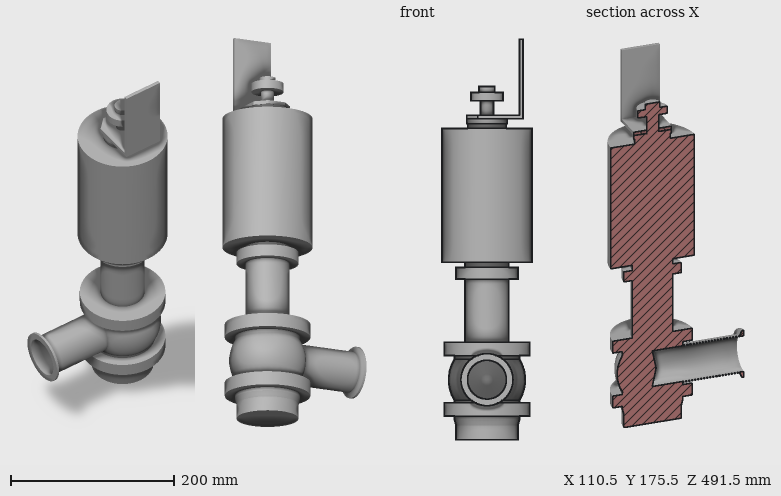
import cadquery as cq

port_diameter = 76.0
port_top = 17.5
shoulder_diameter = 80.0
taper_top = 25.0
flange_diameter = 105.0
lower_flange_bottom = 29.0
lower_flange_top = 45.5
upper_flange_bottom = 103.5
upper_flange_top = 120.0
tube_diameter = 54.0
collar_diameter = 76.0
collar_bottom = 197.0
collar_top = 211.5
actuator_diameter = 110.5
actuator_bottom = 218.0
actuator_top = 382.0
boss_diameter = 50.0
boss_neck_diameter = 47.5
boss_step = 388.0

chamber_diameter = 94.5
chamber_center = 74.0

pipe_diameter = 50.5
pipe_bore = 47.5
rim_diameter = 64.0
rim_thickness = 3.0
rim_taper = 3.0
overall_depth = 175.5
mouth_y = actuator_diameter / 2 - overall_depth
floor_cone_height = 5.0

sheet = 4.5
bracket_width = 50.0
bracket_left = -bracket_width / 2
bracket_right = 44.3
bracket_bottom = 394.0
bracket_top = 491.5
corner_chamfer = 14.0

stem_diameter = 16.0
stem_collar_diameter = 40.0
stem_collar_bottom = 416.0
stem_collar_top = 426.5
stem_head_diameter = 19.5
stem_top = 433.5


def disc(diameter, bottom, top):
    """Upright cylinder on the Z axis between two levels."""
    return cq.Workplane("XY").workplane(offset=bottom).circle(diameter / 2).extrude(top - bottom)


def make_stack():
    """Every cylinder of the valve along Z, joined to the port taper."""
    sections = [
        (port_diameter, 0, port_top),
        (shoulder_diameter, taper_top, lower_flange_bottom),
        (flange_diameter, lower_flange_bottom, lower_flange_top),
        (shoulder_diameter, lower_flange_top, upper_flange_bottom),
        (flange_diameter, upper_flange_bottom, upper_flange_top),
        (tube_diameter, upper_flange_top, actuator_bottom),
        (collar_diameter, collar_bottom, collar_top),
        (actuator_diameter, actuator_bottom, actuator_top),
        (boss_neck_diameter, actuator_top, boss_step),
        (boss_diameter, boss_step, bracket_bottom),
        (stem_diameter, bracket_bottom, stem_collar_bottom),
        (stem_collar_diameter, stem_collar_bottom, stem_collar_top),
        (stem_head_diameter, stem_collar_top, stem_top),
    ]
    stack = make_port_taper()
    for diameter, bottom, top in sections:
        stack = stack.union(disc(diameter, bottom, top))
    return stack


def make_port_taper():
    """Cone that widens from the bottom port to the shoulder."""
    return (
        cq.Workplane("XY").workplane(offset=port_top).circle(port_diameter / 2)
        .workplane(offset=taper_top - port_top).circle(shoulder_diameter / 2).loft()
    )


def make_chamber():
    """Ball cut flat at the two flanges."""
    ball = cq.Workplane("XY").sphere(chamber_diameter / 2).translate((0, 0, chamber_center))
    return ball.intersect(disc(chamber_diameter, lower_flange_top, upper_flange_bottom))


def turned_about_pipe_axis(outline):
    """Revolve a (radius, y) outline about the axis of the side pipe."""
    profile = cq.Workplane("XY").polyline(outline).close()
    return profile.revolve(360, (0, 0, 0), (0, 1, 0)).translate((0, 0, chamber_center))


def make_pipe():
    rim_back = mouth_y + rim_thickness
    return turned_about_pipe_axis([
        (0, mouth_y),
        (rim_diameter / 2, mouth_y),
        (rim_diameter / 2, rim_back),
        (pipe_diameter / 2, rim_back + rim_taper),
        (pipe_diameter / 2, 0),
        (0, 0),
    ])


def make_bore():
    """Blind bore of the side pipe, with a shallow cone standing on its floor at the valve axis."""
    return turned_about_pipe_axis([
        (0, mouth_y),
        (pipe_bore / 2, mouth_y),
        (pipe_bore / 2, 0),
        (0, -floor_cone_height),
    ])


def make_valve():
    return make_stack().union(make_chamber()).union(make_pipe()).cut(make_bore())


def make_bracket():
    """Bent sheet: a foot with a stem hole and two cut corners, and an upright leaf."""
    length = bracket_right - bracket_left
    foot = (
        cq.Workplane("XY").box(length, bracket_width, sheet, centered=(False, True, False))
        .edges("|Z and <X").chamfer(corner_chamfer)
        .translate((bracket_left, 0, bracket_bottom))
    )
    leaf = (
        cq.Workplane("XY")
        .box(sheet, bracket_width, bracket_top - bracket_bottom, centered=(False, True, False))
        .translate((bracket_right - sheet, 0, bracket_bottom))
    )
    stem_hole = disc(stem_diameter, bracket_bottom, bracket_bottom + sheet)
    return foot.union(leaf).cut(stem_hole)


valve = make_valve()
bracket = make_bracket()
result = cq.Compound.makeCompound([valve.val(), bracket.val()])